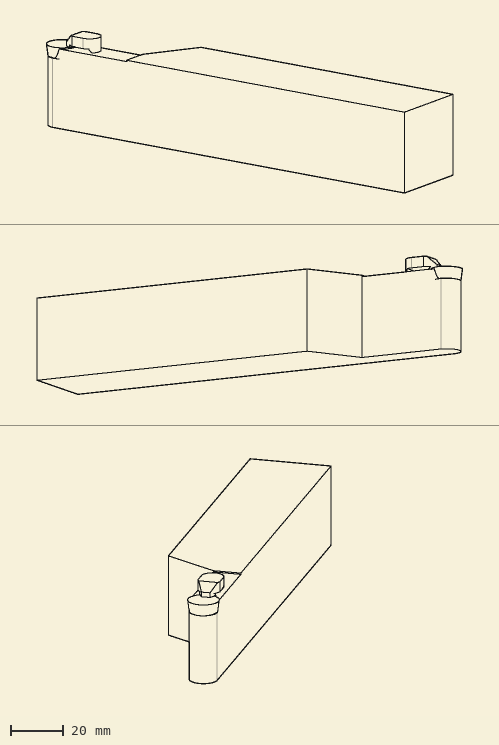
import cadquery as cq
import math

total_length = 170.0
shank_size = 32.0
blade_width = 10.9
blade_step_depth = 0.5
nose_start_x = 5.5
shoulder_x = 40.0
shoulder_angle = 60.0

insert_overhang = 0.6
insert_bottom_radius = blade_width / 2
insert_radius = insert_bottom_radius + insert_overhang
insert_thickness = 4.6

clamp_tip_x = 9.4
clamp_back_x = 23.3
clamp_top_z = 37.0
clamp_width = 8.7
clamp_tip_width = 3.4
clamp_taper_end_x = 13.8
clamp_tip_height = 1.9
clamp_slope_end_x = 12.8
clamp_thickness = 4.0
gap_front_bottom_x = 12.0
gap_front_top_x = 11.5
gap_back_top_x = 21.0
gap_back_bottom_x = 22.1

center_x = insert_radius
center_y = blade_width / 2
blade_top_z = shank_size - blade_step_depth
insert_bottom_z = shank_size - insert_thickness
shoulder_run = (shank_size - blade_width) / math.tan(math.radians(shoulder_angle))


def make_shank():
    """Square shank with a slanted shoulder and a round-nosed blade."""
    shank = (
        cq.Workplane("XY")
        .moveTo(shoulder_x, 0)
        .lineTo(total_length, 0)
        .lineTo(total_length, shank_size)
        .lineTo(shoulder_x + shoulder_run, shank_size)
        .lineTo(shoulder_x, blade_width)
        .close()
        .extrude(shank_size)
    )
    blade = (
        cq.Workplane("XY")
        .moveTo(nose_start_x, 0)
        .lineTo(shoulder_x, 0)
        .lineTo(shoulder_x, blade_width)
        .lineTo(nose_start_x, blade_width)
        .threePointArc((center_x - insert_bottom_radius, center_y), (nose_start_x, 0))
        .close()
        .extrude(blade_top_z)
    )
    return shank.union(blade)


def make_insert():
    """Round cutting insert, a shallow cone that is widest at the top."""
    profile = (
        cq.Workplane("XZ", origin=(center_x, center_y, 0))
        .moveTo(0, insert_bottom_z)
        .lineTo(insert_bottom_radius, insert_bottom_z)
        .lineTo(insert_radius, shank_size)
        .lineTo(0, shank_size)
        .close()
    )
    return profile.revolve(360, (0, 0, 0), (0, 1, 0))


def make_clamp():
    """Bridge-shaped finger: its side profile cut to a tapered, round-backed plan."""
    half_width = clamp_width / 2
    half_tip = clamp_tip_width / 2
    round_start_x = clamp_back_x - half_width
    gap_top_z = clamp_top_z - clamp_thickness
    side = (
        cq.Workplane("XZ")
        .polyline([
            (clamp_tip_x, shank_size),
            (clamp_tip_x, shank_size + clamp_tip_height),
            (clamp_slope_end_x, clamp_top_z),
            (clamp_back_x, clamp_top_z),
            (clamp_back_x, blade_top_z),
            (gap_back_bottom_x, blade_top_z),
            (gap_back_top_x, gap_top_z),
            (gap_front_top_x, gap_top_z),
            (gap_front_bottom_x, shank_size),
        ])
        .close()
        .extrude(-blade_width)
    )
    plan = (
        cq.Workplane("XY", origin=(0, center_y, 0))
        .moveTo(clamp_tip_x, -half_tip)
        .lineTo(clamp_taper_end_x, -half_width)
        .lineTo(round_start_x, -half_width)
        .threePointArc((clamp_back_x, 0), (round_start_x, half_width))
        .lineTo(clamp_taper_end_x, half_width)
        .lineTo(clamp_tip_x, half_tip)
        .close()
        .extrude(clamp_top_z)
    )
    return side.intersect(plan)


insert = make_insert()

holder = make_shank().cut(insert).union(make_clamp())

result = cq.Compound.makeCompound([*holder.solids().vals(), insert.val()])